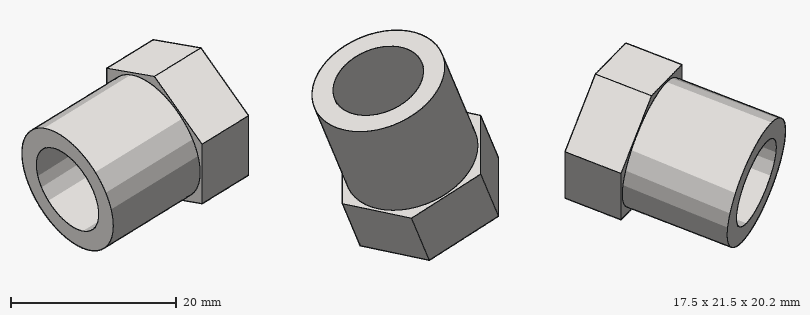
import cadquery as cq
import math

total_length = 21.5
head_length = 7.5
across_flats = 17.5
barrel_diameter = 16.8
bore_diameter = 11.44

across_corners = across_flats / math.cos(math.radians(30))
barrel_length = total_length - head_length


def hex_head():
    """Hexagonal head at the +Y end, with corners pointing up and down."""
    return (
        cq.Workplane("XZ", origin=(0, total_length / 2, 0))
        .transformed(rotate=(0, 0, 90))
        .polygon(6, across_corners)
        .extrude(head_length)
    )


def barrel():
    """Round barrel from the head's inner face to the -Y end."""
    return (
        cq.Workplane("XZ", origin=(0, total_length / 2 - head_length, 0))
        .circle(barrel_diameter / 2)
        .extrude(barrel_length)
    )


def bore():
    """Straight bore through the full length."""
    return (
        cq.Workplane("XZ", origin=(0, total_length / 2, 0))
        .circle(bore_diameter / 2)
        .extrude(total_length)
    )


result = hex_head().union(barrel()).cut(bore())